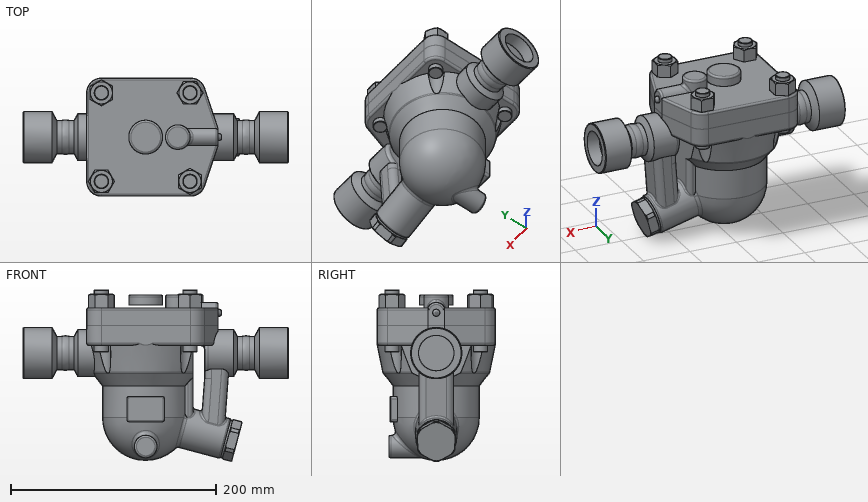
import cadquery as cq
import math


flange_half_width = 57.5
flange_nose_x = 70.5
nose_half_width = 8.2
nose_slope = 1 / 3
flange_corner = 14.5
flange_edge = 2.0
flange_bottom_edge = 2.5
flange_bottom_z = 7.3
split_z = 26.8
cover_top_z = 44.0

stud_offset = 43.1
stud_diameter = 14.0
stud_chamfer = 0.5
stud_top_z = 61.5
stud_bottom_z = 1.2
nut_across_flats = 22.0
nut_chamfer_diameter = 21.5
nut_height = 13.4
nut_chamfer_angle = 30.0
nut_turn = 30.0

knob_diameter = 33.0
knob_bottom_z = 46.7
boss_top_z = 56.7
boss_edge = 2.0
port_x = 31.3
port_diameter = 24.0
channel_radius = 9.0
channel_z = 40.3
channel_root = 3.0
nub_diameter = 7.0
nub_length = 3.4
nub_z = 39.2
nub_edge = 2.5

bowl_radius = 42.0
dome_center_z = -62.5
cone_bottom_z = -31.9
shoulder_z = -19.2
shoulder_radius = 52.0
shoulder_round = 3.0
bowl_top_radius = 57.4
stud_pocket_radius = 9.1
bowl_flat_x = 46.3

inlet_x = -119.2
overall_length = 258.0
outlet_x = inlet_x + overall_length
socket_radius = 25.0
socket_bore_diameter = 34.5
socket_depth = 13.0
socket_chamfer = 0.8
socket_length = 28.0
socket_cone_end = 32.7
neck_radius = 16.3
weld_start = 37.5
weld_end = 44.7
weld_height = 0.6
neck_end = 49.6
branch_start = 53.2
branch_radius = 23.0

strainer_tilt = 15.0
strainer_diameter = 40.0
strainer_length = 80.5
strainer_edge = 1.5
collar_diameter = 38.0
collar_length = 2.0
plug_across_flats = 36.5
plug_diameter = 40.0
plug_length = 9.5
plug_edge = 0.8
window_right_x = 57.3
branch_edge = 3.5
rib_half_width = 17.0
rib_corner = 5.0
rib_foot_z = -75.0
strut_width = 23.0
strut_corner = 7.0
strut_tilt = 4.2
strut_foot_x = 65.05
strut_foot_z = -76.0
strut_length = 76.0
strut_knee_z = -26.5
strut_root_fillet = 2.0
strainer_root_fillet = 4.0
window_corner = 4.0

plate_width = 36.6
plate_height = 24.8
plate_z = -54.6
plate_corner = 2.4
plate_face_y = -45.0
plate_edge = 1.2
drain_diameter = 22.0
drain_z = -91.0
drain_face_y = -46.2
drain_edge = 2.0
drain_root_fillet = 3.5


def flange(bottom_z, top_z, rounded_side, edge_radius):
    """One half of the flange pair, with a tapered nose and its outer edge rounded on one side."""
    shoulder_x = flange_nose_x - (flange_half_width - nose_half_width) * nose_slope
    plate = (
        cq.Workplane("XY", origin=(0, 0, bottom_z))
        .polyline(
            [
                (-flange_half_width, -flange_half_width),
                (shoulder_x, -flange_half_width),
                (flange_nose_x, -nose_half_width),
                (flange_nose_x, nose_half_width),
                (shoulder_x, flange_half_width),
                (-flange_half_width, flange_half_width),
            ]
        )
        .close()
        .extrude(top_z - bottom_z)
    )
    wide_part = cq.selectors.BoxSelector(
        (-overall_length, -overall_length, bottom_z),
        ((shoulder_x + flange_nose_x) / 2, overall_length, top_z),
    )
    plate = plate.edges(wide_part).edges("|Z").fillet(flange_corner)
    return plate.faces(rounded_side).edges().fillet(edge_radius)


def across_corners(across_flats):
    return across_flats / math.cos(math.pi / 6)


def nut(x, y, turn):
    """A nut with its stud end, chamfered at the top."""
    blank = (
        cq.Workplane("XY", origin=(x, y, cover_top_z))
        .transformed(rotate=(0, 0, turn))
        .polygon(6, across_corners(nut_across_flats))
        .extrude(nut_height)
    )
    cone = (
        cq.Workplane("XY", origin=(x, y, cover_top_z + nut_height))
        .circle(nut_chamfer_diameter / 2)
        .workplane(offset=-nut_height)
        .circle(nut_chamfer_diameter / 2 + nut_height / math.tan(math.radians(nut_chamfer_angle)))
        .loft()
    )
    stud = (
        cq.Workplane("XY", origin=(x, y, cover_top_z))
        .circle(stud_diameter / 2)
        .extrude(stud_top_z - cover_top_z)
        .faces(">Z")
        .chamfer(stud_chamfer)
    )
    return blank.intersect(cone).union(stud)


def make_cover():
    """Upper flange with the port boss, its channel and nub, and the four nuts."""
    cover = flange(split_z, cover_top_z, ">Z", flange_edge)
    channel = (
        cq.Workplane("YZ", origin=(port_x, 0, channel_z))
        .circle(channel_radius)
        .extrude(flange_nose_x - port_x)
        .faces(">X")
        .edges()
        .fillet(flange_edge)
    )
    port = (
        cq.Workplane("XY", origin=(port_x, 0, split_z))
        .circle(port_diameter / 2)
        .extrude(boss_top_z - split_z)
        .faces(">Z")
        .edges()
        .fillet(boss_edge)
    )
    nub = (
        cq.Workplane("YZ", origin=(flange_nose_x, 0, nub_z))
        .circle(nub_diameter / 2)
        .extrude(nub_length)
        .faces(">X")
        .edges()
        .fillet(nub_edge)
    )
    channel_joint = cq.selectors.BoxSelector(
        (port_x, -channel_radius, cover_top_z),
        (port_x + port_diameter / 2, channel_radius, channel_z + channel_radius),
    )
    cover = cover.union(channel).union(port)
    cover = cover.edges(channel_joint).edges("not #Z").edges("not |Z").fillet(channel_root)
    cover = cover.union(nub)
    for x_side in (-1, 1):
        for y_side in (-1, 1):
            turn = nut_turn if x_side * y_side < 0 else 0
            cover = cover.union(nut(x_side * stud_offset, y_side * stud_offset, turn))
    return cover


def make_knob():
    """Loose knob, clear of the cover."""
    return (
        cq.Workplane("XY", origin=(0, 0, knob_bottom_z))
        .circle(knob_diameter / 2)
        .extrude(boss_top_z - knob_bottom_z)
        .faces(">Z")
        .edges()
        .fillet(boss_edge)
    )


def make_bowl():
    """Domed bowl, cut back around the studs and flat on the outlet side."""
    diagonal = bowl_radius * math.sqrt(0.5)
    wall_slope = (bowl_top_radius - shoulder_radius) / (flange_bottom_z - shoulder_z)
    rim_z = flange_bottom_z + flange_bottom_edge
    rim_radius = bowl_top_radius + wall_slope * flange_bottom_edge
    bowl = (
        cq.Workplane("XZ")
        .moveTo(0, dome_center_z - bowl_radius)
        .threePointArc((-diagonal, dome_center_z - diagonal), (-bowl_radius, dome_center_z))
        .lineTo(-bowl_radius, cone_bottom_z)
        .lineTo(-shoulder_radius, shoulder_z)
        .lineTo(-rim_radius, rim_z)
        .lineTo(0, rim_z)
        .close()
        .revolve(360, (0, 0, 0), (0, 1, 0))
        .edges(cq.selectors.NearestToPointSelector((shoulder_radius, 0, shoulder_z)))
        .fillet(shoulder_round)
    )
    envelope = (
        cq.Workplane("XY")
        .box(flange_half_width + bowl_flat_x, 2 * flange_half_width, 2 * overall_length)
        .translate(((bowl_flat_x - flange_half_width) / 2, 0, 0))
    )
    stud_pockets = (
        cq.Workplane("XY", origin=(0, 0, cone_bottom_z))
        .rect(2 * stud_offset, 2 * stud_offset, forConstruction=True)
        .vertices()
        .circle(stud_pocket_radius)
        .extrude(flange_bottom_z - cone_bottom_z)
    )
    return bowl.cut(stud_pockets).intersect(envelope)


def pipe_end(face_x, inward, branch_end_x):
    """A socket, neck with weld bead and branch, revolved about the pipe axis and running inward."""
    weld_middle = (weld_start + weld_end) / 2
    return (
        cq.Workplane("XZ")
        .moveTo(face_x, 0)
        .lineTo(face_x, socket_radius - socket_chamfer)
        .lineTo(face_x + inward * socket_chamfer, socket_radius)
        .lineTo(face_x + inward * socket_length, socket_radius)
        .lineTo(face_x + inward * socket_cone_end, neck_radius)
        .lineTo(face_x + inward * weld_start, neck_radius)
        .threePointArc(
            (face_x + inward * weld_middle, neck_radius + weld_height),
            (face_x + inward * weld_end, neck_radius),
        )
        .lineTo(face_x + inward * neck_end, neck_radius)
        .lineTo(face_x + inward * branch_start, branch_radius)
        .lineTo(branch_end_x, branch_radius)
        .lineTo(branch_end_x, 0)
        .close()
        .revolve(360, (0, 0, 0), (1, 0, 0))
    )


def socket_bore(face_x, inward):
    return (
        cq.Workplane("YZ", origin=(face_x, 0, 0))
        .circle(socket_bore_diameter / 2)
        .extrude(inward * socket_depth)
    )


def rib():
    """Upright rib on the outlet side of the bowl, ending inside the strainer branch."""
    return (
        cq.Workplane("XY", origin=(bowl_flat_x / 2, 0, rib_foot_z))
        .rect(bowl_flat_x, 2 * rib_half_width)
        .extrude(flange_bottom_z - rib_foot_z)
        .edges("|Z and >X")
        .fillet(rib_corner)
    )


def strut():
    """Tilted strut from the strainer branch to the outlet branch, upright above its knee."""
    tilted = (
        cq.Workplane("XY")
        .rect(strut_width, 2 * rib_half_width)
        .extrude(strut_length)
        .edges("|Z")
        .fillet(strut_corner)
        .rotate((0, 0, 0), (0, 1, 0), strut_tilt)
        .translate((strut_foot_x, 0, strut_foot_z))
    )
    upright = (
        cq.Workplane("XY", origin=(window_right_x + strut_width / 4, 0, strut_knee_z))
        .rect(strut_width / 2, 2 * rib_half_width)
        .extrude(-strut_knee_z)
        .edges("|Z and <X")
        .fillet(strut_corner)
    )
    return tilted.union(upright)


def strainer_plane(distance):
    """Workplane square to the strainer axis, at a distance from the dome centre."""
    tilt = math.radians(strainer_tilt)
    return cq.Workplane(
        cq.Plane(
            origin=(distance * math.cos(tilt), 0, dome_center_z - distance * math.sin(tilt)),
            xDir=(-math.sin(tilt), 0, -math.cos(tilt)),
            normal=(math.cos(tilt), 0, -math.sin(tilt)),
        )
    )


def strainer_plug():
    """Collar and hexagon whose corners are turned down."""
    collar = strainer_plane(strainer_length).circle(collar_diameter / 2).extrude(collar_length)
    plug_start = strainer_length + collar_length
    hexagon = (
        strainer_plane(plug_start)
        .polygon(6, across_corners(plug_across_flats))
        .extrude(plug_length)
    )
    turned = (
        strainer_plane(plug_start)
        .circle(plug_diameter / 2)
        .extrude(plug_length)
        .edges()
        .chamfer(plug_edge)
    )
    return hexagon.intersect(turned).union(collar)


def strainer_branch():
    """Strainer branch with the rib and the strut standing on it."""
    branch = (
        strainer_plane(0)
        .circle(strainer_diameter / 2)
        .extrude(strainer_length)
        .faces(">X")
        .edges()
        .fillet(strainer_edge)
    )
    joints = cq.selectors.BoxSelector(
        (bowl_flat_x - 2 * rib_corner, -rib_half_width, strut_foot_z),
        (strut_foot_x + strut_width, rib_half_width, strut_foot_z + strainer_diameter / 2),
    )
    ribbed = branch.union(rib()).union(strut()).edges(joints).fillet(strut_root_fillet)
    bowl_joint = cq.selectors.BoxSelector(
        (bowl_radius / 2, -strainer_diameter / 2, dome_center_z - bowl_radius),
        (bowl_flat_x, strainer_diameter / 2, dome_center_z + strainer_diameter / 2),
    )
    return make_bowl().union(branch).edges(bowl_joint).fillet(strainer_root_fillet).union(ribbed)


def window_corner_fill():
    """Concave corner between the underside of the flange and the inner end of the outlet branch."""
    left_x = window_right_x - window_corner
    low_z = flange_bottom_z - window_corner
    reach = window_corner * math.sqrt(0.5)
    return (
        cq.Workplane("XZ")
        .moveTo(left_x, flange_bottom_z)
        .threePointArc((left_x + reach, low_z + reach), (window_right_x, low_z))
        .lineTo(window_right_x + branch_edge, low_z)
        .lineTo(window_right_x + branch_edge, flange_bottom_z)
        .close()
        .extrude(rib_half_width, both=True)
    )


def drain_boss():
    return (
        cq.Workplane("XZ", origin=(0, drain_face_y, drain_z))
        .circle(drain_diameter / 2)
        .extrude(drain_face_y)
        .faces("<Y")
        .edges()
        .fillet(drain_edge)
    )


def name_plate():
    return (
        cq.Workplane("XZ", origin=(0, plate_face_y, plate_z))
        .rect(plate_width, plate_height)
        .extrude(plate_face_y)
        .edges("|Y")
        .fillet(plate_corner)
        .faces("<Y")
        .edges()
        .fillet(plate_edge)
    )


def stud_ends():
    """Stud ends under the flange."""
    return (
        cq.Workplane("XY", origin=(0, 0, stud_bottom_z))
        .rect(2 * stud_offset, 2 * stud_offset, forConstruction=True)
        .vertices()
        .circle(stud_diameter / 2)
        .extrude(split_z - stud_bottom_z)
        .faces("<Z")
        .edges()
        .chamfer(stud_chamfer)
    )


def make_housing():
    """Bowl with all its branches, pipe ends and the lower flange."""
    drain_joint = cq.selectors.BoxSelector(
        (-drain_diameter, drain_face_y + drain_edge, dome_center_z - bowl_radius),
        (drain_diameter, 0, drain_z + drain_diameter),
    )
    housing = strainer_branch().union(drain_boss())
    housing = housing.edges(drain_joint).edges("%BSPLINE").fillet(drain_root_fillet)
    outlet = pipe_end(outlet_x, -1, window_right_x).faces("<X").edges().fillet(branch_edge)
    housing = housing.union(outlet).union(pipe_end(inlet_x, 1, 0))
    housing = housing.union(flange(flange_bottom_z, split_z, "<Z", flange_bottom_edge))
    housing = housing.union(window_corner_fill())
    housing = housing.cut(socket_bore(inlet_x, 1)).cut(socket_bore(outlet_x, -1))
    return housing.union(strainer_plug()).union(name_plate()).union(stud_ends())


trap = make_housing().union(make_cover(), clean=False)
knob = make_knob()
result = cq.Compound.makeCompound([trap.val(), knob.val()])